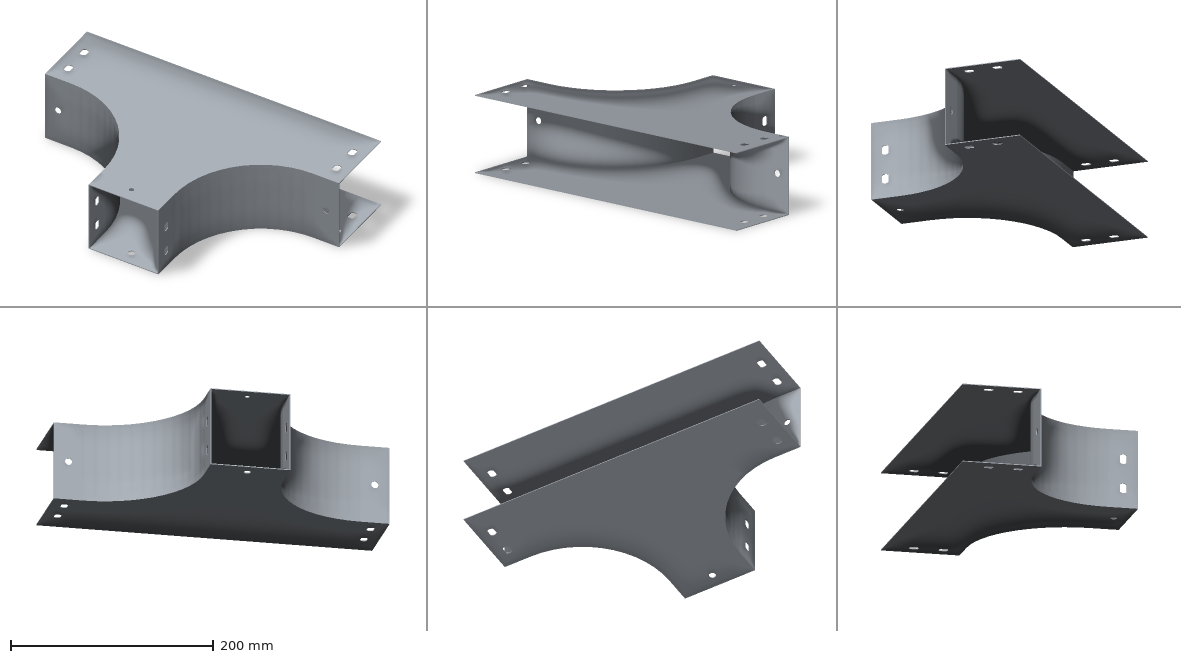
import cadquery as cq

length = 340.0
depth = 210.0
height = 80.0
run_width = 80.0
branch_width = 80.5
straight_end = 30.0
sheet = 0.8

hole_inset = 15.0
slot_width = 7.0
slot_length = 10.0
slot_pitch = 30.0
wall_hole_diameter = 7.0
roof_hole_diameter = 5.0
floor_hole_diameter = 7.0

half_length = length / 2
back_y = depth / 2
mouth_y = -depth / 2
run_front_y = back_y - run_width
half_branch = branch_width / 2
bend_radius = half_length - straight_end - half_branch
bend_start_x = half_branch + bend_radius
bend_end_y = run_front_y - bend_radius
top_z = height / 2


def tee_prism(inset, prism_height):
    """Tee prism with its side walls offset inward; all three mouths and the back stay in place."""
    wall_y = run_front_y + inset
    wall_x = half_branch - inset
    arc_radius = bend_radius + inset
    return (
        cq.Workplane("XY", origin=(0, 0, -prism_height / 2))
        .moveTo(-half_length, back_y)
        .lineTo(half_length, back_y)
        .lineTo(half_length, wall_y)
        .lineTo(bend_start_x, wall_y)
        .radiusArc((wall_x, bend_end_y), -arc_radius)
        .lineTo(wall_x, mouth_y)
        .lineTo(-wall_x, mouth_y)
        .lineTo(-wall_x, bend_end_y)
        .radiusArc((-bend_start_x, wall_y), -arc_radius)
        .lineTo(-half_length, wall_y)
        .close()
        .extrude(prism_height)
    )


def slot_sketch():
    """Circle with two parallel flats, its long direction along local Y."""
    return cq.Sketch().circle(slot_length / 2).rect(slot_width, slot_length, mode="i")


def run_end_slots():
    """Slots through roof and floor at both ends of the run, elongated along Y."""
    end_x = half_length - hole_inset
    centres = [(x, back_y - i * slot_pitch) for x in (-end_x, end_x) for i in (1, 2)]
    return (
        cq.Workplane("XY")
        .pushPoints(centres)
        .placeSketch(slot_sketch())
        .extrude(height, both=True)
    )


def branch_slots():
    """Slots through both branch walls near the branch mouth, elongated along Z."""
    centres = [(mouth_y + hole_inset, top_z - i * slot_pitch) for i in (1, 2)]
    return (
        cq.Workplane("YZ")
        .pushPoints(centres)
        .placeSketch(slot_sketch())
        .extrude(half_branch + sheet, both=True)
    )


def run_wall_holes():
    """Round holes through the front walls at both ends of the run."""
    end_x = half_length - hole_inset
    return (
        cq.Workplane("XZ", origin=(0, run_front_y, 0))
        .pushPoints([(-end_x, 0), (end_x, 0)])
        .circle(wall_hole_diameter / 2)
        .extrude(2 * sheet, both=True)
    )


def branch_hole(diameter, plate_z):
    """Round hole through the roof or floor plate near the branch mouth."""
    return (
        cq.Workplane("XY", origin=(0, mouth_y + hole_inset, plate_z))
        .circle(diameter / 2)
        .extrude(2 * sheet, both=True)
    )


duct = tee_prism(0, height).cut(tee_prism(sheet, height - 2 * sheet))

result = (
    duct.cut(run_end_slots())
    .cut(branch_slots())
    .cut(run_wall_holes())
    .cut(branch_hole(roof_hole_diameter, top_z))
    .cut(branch_hole(floor_hole_diameter, -top_z))
)